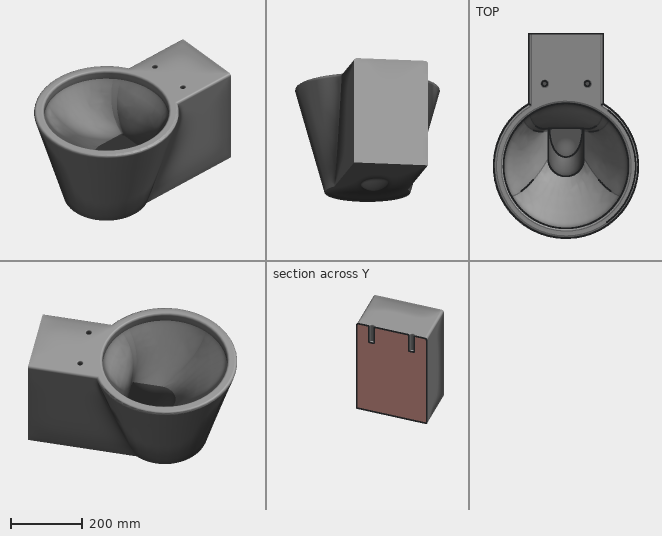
import cadquery as cq
import math

body_height = 299.5
total_length = 573.0
edge_radius = 7.5

bowl_base_radius = 120.0
bowl_top_radius = 205.0
rim_outer_radius = 203.0
plinth_back = total_length - rim_outer_radius

plinth_width = 209.5
plinth_front = 28.5

lip_radius = 350.0 / 2
lip_round = 7.0
lip_bottom = 272.5

front_seam_angle = -29.0
side_seam_angle = 47.0
back_seam_angle = 54.4

waist_height = 212.0
waist_front_seam = (110.5, -59.0)
waist_side_seam = (96.0, 102.0)
waist_back_seam = (85.0, 111.5)
waist_side_reach = 123.0
waist_side_y = 28.5
waist_front_y = -103.0
waist_back_y = 127.0

pipe_radius = 100.0 / 2
bend_radius = 93.0
trap_depth = 17.0
bend_y = 113.5
bend_z = bend_radius + pipe_radius - trap_depth
water_level = 14.0

mouth_height = 133.0
mouth_front_y = bend_y - bend_radius
mouth_back_y = 105.5
mouth_corner = 7.0
undercut_slope = 40.0

seat_hole_spacing = 119.5
seat_hole_y = 230.0
seat_hole_diameter = 15.0
seat_hole_depth = 57.0
seat_hole_round = 3.0

straight_tolerance = 0.005


def lip_point(angle):
    """Point on the lip circle at an angle in degrees."""
    turn = math.radians(angle)
    return (lip_radius * math.cos(turn), lip_radius * math.sin(turn))


def mirror(point):
    """Same point on the other side of X = 0."""
    return (-point[0], point[1])


def funnel_section(height, front_seam, side_seam, back_seam, front, side, corner, back):
    """Closed section of eight arcs or lines, symmetric about X = 0, as a wire at a height."""
    half = [(front_seam, side, side_seam), (side_seam, corner, back_seam)]
    spans = [(mirror(front_seam), front, front_seam)] + half
    spans += [(back_seam, back, mirror(back_seam))]
    spans += [(mirror(end), mirror(middle), mirror(start)) for start, middle, end in reversed(half)]
    edges = []
    for span in spans:
        start, middle, end = [cq.Vector(x, y, height) for x, y in span]
        if (middle - (start + end) * 0.5).Length < straight_tolerance:
            edges.append(cq.Edge.makeLine(start, end))
        else:
            edges.append(cq.Edge.makeThreePointArc(start, middle, end))
    return cq.Wire.assembleEdges(edges)


def lip_section():
    return funnel_section(
        lip_bottom,
        lip_point(front_seam_angle),
        lip_point(side_seam_angle),
        lip_point(back_seam_angle),
        (0, -lip_radius),
        lip_point((front_seam_angle + side_seam_angle) / 2),
        lip_point((side_seam_angle + back_seam_angle) / 2),
        (0, lip_radius),
    )


def waist_section():
    corner = (
        (waist_side_seam[0] + waist_back_seam[0]) / 2,
        (waist_side_seam[1] + waist_back_seam[1]) / 2,
    )
    return funnel_section(
        waist_height,
        waist_front_seam,
        waist_side_seam,
        waist_back_seam,
        (0, waist_front_y),
        (waist_side_reach, waist_side_y),
        corner,
        (0, waist_back_y),
    )


def mouth_section(height):
    corner_x = pipe_radius - mouth_corner
    corner_y = mouth_back_y - mouth_corner
    diagonal = mouth_corner * math.sqrt(0.5)
    return funnel_section(
        height,
        (pipe_radius, mouth_front_y),
        (pipe_radius, corner_y),
        (corner_x, mouth_back_y),
        (0, mouth_front_y - pipe_radius),
        (pipe_radius, (mouth_front_y + corner_y) / 2),
        (corner_x + diagonal, corner_y + diagonal),
        (0, mouth_back_y),
    )


def outer_body():
    """Tapered bowl joined to the block, both with rounded top edges."""
    bowl = (
        cq.Workplane("XZ")
        .polyline([(0, 0), (bowl_base_radius, 0), (bowl_top_radius, body_height), (0, body_height)])
        .close()
        .revolve(360, (0, 0, 0), (0, 1, 0))
        .faces(">Z")
        .edges()
        .fillet(edge_radius)
    )
    plinth = (
        cq.Workplane("XY")
        .box(plinth_width, plinth_back - plinth_front, body_height, centered=(True, False, False))
        .translate((0, plinth_front, 0))
        .edges("|Y and >Z")
        .fillet(edge_radius)
    )
    return bowl.union(plinth)


def pipe_bend():
    """Full ring of the trap pipe around its bend axis."""
    return cq.Workplane(
        cq.Solid.makeTorus(bend_radius, pipe_radius, cq.Vector(0, bend_y, bend_z), cq.Vector(1, 0, 0))
    )


def block(y_min, y_max, z_min, z_max):
    """Box across the full width of the part."""
    return (
        cq.Workplane("XY")
        .box(2 * rim_outer_radius, y_max - y_min, z_max - z_min, centered=(True, False, False))
        .translate((0, y_min, z_min))
    )


def trap_bulge():
    """Lowest part of the pipe bend, hanging below the underside."""
    return pipe_bend().intersect(block(-rim_outer_radius, plinth_back, -body_height, water_level))


def below_undercut():
    """Space under the mouth and under the ceiling that slopes down behind it."""
    ceiling_drop = mouth_height - water_level
    ceiling_run = ceiling_drop / math.tan(math.radians(undercut_slope))
    return (
        cq.Workplane("YZ")
        .polyline([
            (-rim_outer_radius, water_level),
            (mouth_back_y + ceiling_run, water_level),
            (mouth_back_y, mouth_height),
            (-rim_outer_radius, mouth_height),
        ])
        .close()
        .extrude(rim_outer_radius, both=True)
    )


def trap_cavity():
    """Bend above the water, opened across its inner side and upwards to the mouth."""
    inside_bend = (
        cq.Workplane("YZ")
        .center(bend_y, bend_z)
        .circle(bend_radius)
        .extrude(pipe_radius, both=True)
    )
    lower_half = block(-rim_outer_radius, plinth_back, water_level, bend_z)
    bend = pipe_bend().union(inside_bend).intersect(lower_half)
    neck = cq.Workplane(
        cq.Solid.extrudeLinear(mouth_section(bend_z), [], cq.Vector(0, 0, mouth_height - bend_z))
    )
    return bend.union(neck).intersect(below_undercut())


def funnel_cavity():
    sections = [mouth_section(mouth_height), waist_section(), lip_section()]
    return cq.Workplane(cq.Solid.makeLoft(sections))


def lip_cavity():
    """Straight wall below the rim, flaring out over the rounded inner edge."""
    return (
        cq.Workplane("XZ")
        .moveTo(0, lip_bottom)
        .lineTo(lip_radius, lip_bottom)
        .lineTo(lip_radius, body_height - lip_round)
        .radiusArc((lip_radius + lip_round, body_height), lip_round)
        .lineTo(0, body_height)
        .close()
        .revolve(360, (0, 0, 0), (0, 1, 0))
    )


def seat_holes():
    """Two blind holes with rounded top edges."""
    radius = seat_hole_diameter / 2
    hole = (
        cq.Workplane("XZ")
        .moveTo(0, body_height - seat_hole_depth)
        .lineTo(radius, body_height - seat_hole_depth)
        .lineTo(radius, body_height - seat_hole_round)
        .radiusArc((radius + seat_hole_round, body_height), seat_hole_round)
        .lineTo(0, body_height)
        .close()
        .revolve(360, (0, 0, 0), (0, 1, 0))
    )
    left = hole.translate((-seat_hole_spacing / 2, seat_hole_y, 0))
    right = hole.translate((seat_hole_spacing / 2, seat_hole_y, 0))
    return left.union(right)


result = (
    outer_body()
    .union(trap_bulge())
    .cut(lip_cavity())
    .cut(funnel_cavity())
    .cut(trap_cavity())
    .cut(seat_holes())
)